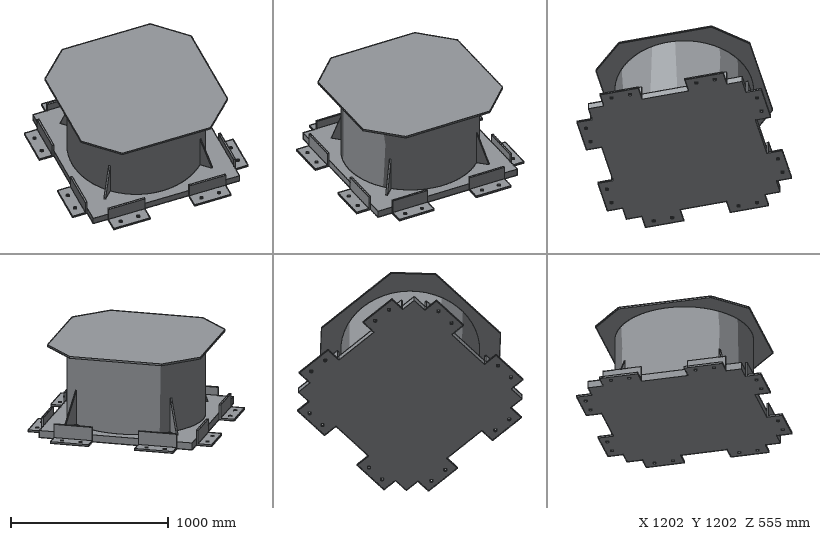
import cadquery as cq

overall_width = 1202.0
overall_height = 555.0

plate_side = 1002.0
base_thickness = 47.0
top_thickness = 12.0
top_corner_cut = 200.0

drum_diameter = 880.0
drum_radius = drum_diameter / 2
drum_height = overall_height - base_thickness - top_thickness

leg_width = (overall_width - plate_side) / 2
leg_height = 100.0
leg_thickness = 12.0
bracket_length = 250.0
bracket_end_inset = 100.0
bracket_offset = plate_side / 2 - bracket_end_inset - bracket_length / 2

hole_diameter = 20.0
hole_spacing = 120.0
hole_edge_distance = 43.0

rib_thickness = 12.0
rib_foot = 80.0
rib_height = 224.0
rib_embed = 12.0


def make_base():
    return cq.Workplane("XY").box(plate_side, plate_side, base_thickness, centered=(True, True, False))


def make_drum():
    return cq.Workplane("XY").workplane(offset=base_thickness).circle(drum_radius).extrude(drum_height)


def make_top_plate():
    return (
        cq.Workplane("XY")
        .workplane(offset=overall_height - top_thickness)
        .rect(plate_side, plate_side)
        .extrude(top_thickness)
        .edges("|Z")
        .chamfer(top_corner_cut)
    )


def make_bracket(center_y):
    """L-shaped bracket on the +X side of the base, centred at center_y."""
    inner_x = plate_side / 2
    outer_x = overall_width / 2
    angle = (
        cq.Workplane("XZ", origin=(0, center_y + bracket_length / 2, 0))
        .moveTo(inner_x, 0)
        .lineTo(outer_x, 0)
        .lineTo(outer_x, leg_thickness)
        .lineTo(inner_x + leg_thickness, leg_thickness)
        .lineTo(inner_x + leg_thickness, leg_height)
        .lineTo(inner_x, leg_height)
        .close()
        .extrude(bracket_length)
    )
    hole_x = outer_x - hole_edge_distance
    holes = (
        cq.Workplane("XY")
        .pushPoints([(hole_x, center_y + side * hole_spacing / 2) for side in (-1, 1)])
        .circle(hole_diameter / 2)
        .extrude(leg_thickness)
    )
    return angle.cut(holes)


def make_rib():
    """Triangular rib standing on the base against the drum, along +X."""
    inner_x = drum_radius - rib_embed
    rib_top = base_thickness + rib_height
    return (
        cq.Workplane("XZ", origin=(0, rib_thickness / 2, 0))
        .moveTo(inner_x, base_thickness)
        .lineTo(drum_radius + rib_foot, base_thickness)
        .lineTo(drum_radius, rib_top)
        .lineTo(inner_x, rib_top)
        .close()
        .extrude(rib_thickness)
    )


result = make_base().union(make_drum()).union(make_top_plate())

for quarter in range(4):
    turn = 90 * quarter
    for center_y in (-bracket_offset, bracket_offset):
        result = result.union(make_bracket(center_y).rotate((0, 0, 0), (0, 0, 1), turn))
    result = result.union(make_rib().rotate((0, 0, 0), (0, 0, 1), turn + 45))